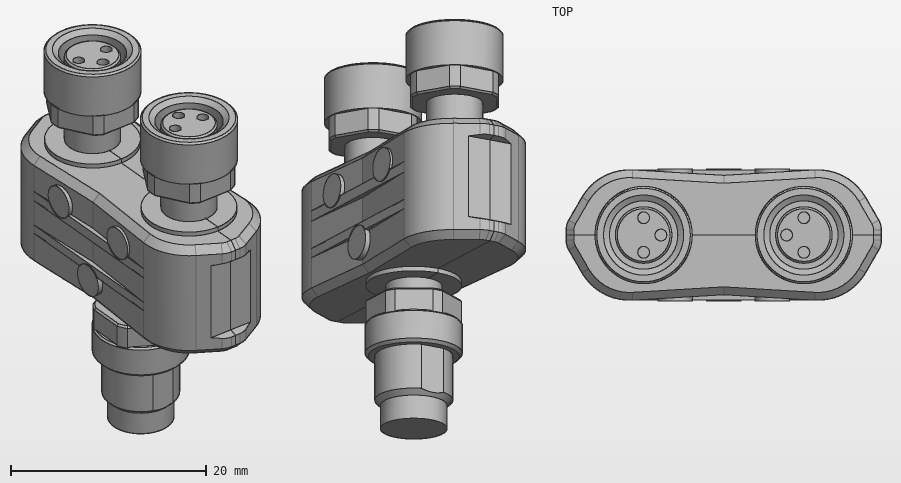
import cadquery as cq
import math

TIP_TOP = 2.5
SLEEVE_CONE_TOP = 3.05
PLUG_NUT_BOTTOM = 7.8
PLUG_HEX_BOTTOM = 11.3
PLUG_NUT_TOP = 13.75
HOUSING_BOTTOM = 15.88
HOUSING_TOP = 28.95
SOCKET_NUT_BOTTOM = 32.75
SOCKET_HEX_TOP = 35.25
OVERALL_HEIGHT = 40.2

OVERALL_LENGTH = 32.3
OVERALL_WIDTH = 13.55

HOUSING_HALF_LENGTH = OVERALL_LENGTH / 2
WAIST_HALF_WIDTH = 6.1
END_FLAT_HALF_WIDTH = 0.52
END_CORNER_RADIUS = 2.0
SHOULDER_RADIUS = 5.63
SHOULDER_CENTER_X = 9.65
END_FACE_TURN = math.radians(30)
HOUSING_CHAMFER = 0.8

FLANGE_RADIUS = 4.9
FLANGE_HEIGHT = 0.5
GRIP_DEPTH = 0.85
GRIP_BOTTOM = 18.1
GRIP_TOP = 26.77
GRIP_WALL_RISE = 0.25
RIB_HEIGHTS = [(19.95, 20.95), (23.88, 25.0)]
DISC_RADIUS = 1.75
DISC_FACE_Y = OVERALL_WIDTH / 2
DISC_OFFSET_X = 5.0
UPPER_DISC_Z = 25.93
LOWER_DISC_Z = 18.97

SOCKET_OFFSET_X = 8.2
STEM_RADIUS = 2.9
NUT_RADIUS = 5.0
NUT_EDGE_CHAMFER = 0.2
HEX_APOTHEM = 4.5
HEX_CORNER_RADIUS = 4.9
HEX_EDGE_CHAMFER = 0.2
SOCKET_HEX_TURN = 0
PLUG_HEX_TURN = 30

SOCKET_BORE_RADIUS = 3.5
SOCKET_MOUTH_RADIUS = 4.1
SOCKET_MOUTH_DEPTH = 0.45
INSERT_RECESS = 0.65
INSERT_CHAMFER = 0.2
CONTACT_RADIUS = 0.6
CONTACT_OFFSET = 1.75
CONTACT_DEPTH = 3.2

PLUG_NUT_CHAMFER = 0.32
SLEEVE_DIAMETER = 8.0
SLEEVE_RADIUS = SLEEVE_DIAMETER / 2
SLEEVE_FLAT_X = 3.78
TIP_RADIUS = 3.4


def cylinder(radius, bottom, top, x=0):
    """Upright cylinder between two heights, centred on (x, 0)."""
    return cq.Workplane("XY", origin=(x, 0, bottom)).circle(radius).extrude(top - bottom)


def on_circle(center, radius, angle):
    """Point on a circle at an angle from +X."""
    return (center[0] + radius * math.cos(angle), center[1] + radius * math.sin(angle))


def end_corner_arc():
    """Start, middle and end of the arc from the end flat to the slanted end face."""
    center = (HOUSING_HALF_LENGTH - END_CORNER_RADIUS, END_FLAT_HALF_WIDTH)
    angles = (0, END_FACE_TURN / 2, END_FACE_TURN)
    return [on_circle(center, END_CORNER_RADIUS, angle) for angle in angles]


def shoulder_arc():
    """Start, middle and end of the arc from the slanted end face to the waist line."""
    face_x, face_y = end_corner_arc()[-1]
    cos_end = math.cos(END_FACE_TURN)
    sin_end = math.sin(END_FACE_TURN)
    face_distance = face_x * cos_end + face_y * sin_end
    center_y = (face_distance - SHOULDER_RADIUS - SHOULDER_CENTER_X * cos_end) / sin_end
    center = (SHOULDER_CENTER_X, center_y)

    waist_drop = center_y - WAIST_HALF_WIDTH
    waist_distance = math.hypot(SHOULDER_CENTER_X, waist_drop)
    direction_to_waist = math.atan2(-waist_drop, -SHOULDER_CENTER_X)
    waist_turn = direction_to_waist - math.acos(SHOULDER_RADIUS / waist_distance)
    angles = (END_FACE_TURN, (END_FACE_TURN + waist_turn) / 2, waist_turn)
    return [on_circle(center, SHOULDER_RADIUS, angle) for angle in angles]


def housing_outline():
    """Closed outline: waisted long sides, round shoulders, pointed ends with small flats."""
    corner_start, corner_middle, corner_end = end_corner_arc()
    shoulder_start, shoulder_middle, shoulder_end = shoulder_arc()
    return (
        cq.Workplane("XY", origin=(0, 0, HOUSING_BOTTOM))
        .moveTo(HOUSING_HALF_LENGTH, 0)
        .lineTo(*corner_start)
        .threePointArc(corner_middle, corner_end)
        .lineTo(*shoulder_start)
        .threePointArc(shoulder_middle, shoulder_end)
        .lineTo(0, WAIST_HALF_WIDTH)
        .mirrorY()
        .mirrorX()
    )


def grip_recess(side):
    """Cutter for the recess across one housing end; its walls flare slightly outward."""
    floor_x = HOUSING_HALF_LENGTH - GRIP_DEPTH
    return (
        cq.Workplane("XZ")
        .polyline([
            (side * floor_x, GRIP_BOTTOM),
            (side * floor_x, GRIP_TOP),
            (side * HOUSING_HALF_LENGTH, GRIP_TOP + GRIP_WALL_RISE),
            (side * HOUSING_HALF_LENGTH, GRIP_BOTTOM - GRIP_WALL_RISE),
        ])
        .close()
        .extrude(OVERALL_WIDTH / 2, both=True)
    )


def front_housing():
    """Half of the housing on the -Y side of the parting plane."""
    body = (
        housing_outline()
        .extrude(HOUSING_TOP - HOUSING_BOTTOM)
        .faces("<Z or >Z")
        .chamfer(HOUSING_CHAMFER)
    )
    for side in (-1, 1):
        body = body.cut(grip_recess(side))
        body = body.union(
            cylinder(FLANGE_RADIUS, HOUSING_TOP, HOUSING_TOP + FLANGE_HEIGHT, side * SOCKET_OFFSET_X)
        )
    body = body.union(cylinder(FLANGE_RADIUS, HOUSING_BOTTOM - FLANGE_HEIGHT, HOUSING_BOTTOM))

    rib_end_x, rib_face_y = shoulder_arc()[-1]
    for bottom, top in RIB_HEIGHTS:
        rib = cq.Workplane("XY", origin=(0, 0, bottom)).box(
            2 * rib_end_x, 2 * rib_face_y, top - bottom, centered=(True, True, False)
        )
        body = body.union(rib)

    disc_centers = [
        (-DISC_OFFSET_X, UPPER_DISC_Z),
        (DISC_OFFSET_X, UPPER_DISC_Z),
        (0, LOWER_DISC_Z),
    ]
    discs = cq.Workplane("XZ").pushPoints(disc_centers).circle(DISC_RADIUS).extrude(DISC_FACE_Y)
    body = body.union(discs)

    front_space = cq.Workplane("XY").box(
        OVERALL_LENGTH, OVERALL_WIDTH, 2 * OVERALL_HEIGHT
    ).translate((0, -OVERALL_WIDTH / 2, 0))
    return body.intersect(front_space)


def hex_section(bottom, top, turn):
    """Hexagon with turned-down corners; at turn 0 two flats face +X and -X."""
    height = top - bottom
    hexagon = (
        cq.Workplane("XY", origin=(0, 0, bottom))
        .transformed(rotate=(0, 0, turn))
        .polygon(6, 2 * HEX_APOTHEM, circumscribed=True)
        .extrude(height)
    )
    return hexagon.intersect(cylinder(HEX_CORNER_RADIUS, bottom, top))


def socket_nut(x):
    """Ring nut around a socket insert, hexagonal at its lower end."""
    collar = (
        cylinder(NUT_RADIUS, SOCKET_HEX_TOP, OVERALL_HEIGHT)
        .faces(">Z")
        .chamfer(NUT_EDGE_CHAMFER)
    )
    hexagon = hex_section(SOCKET_NUT_BOTTOM, SOCKET_HEX_TOP, SOCKET_HEX_TURN)
    hexagon = hexagon.faces("<Z").chamfer(HEX_EDGE_CHAMFER)
    bore = cylinder(SOCKET_BORE_RADIUS, SOCKET_HEX_TOP, OVERALL_HEIGHT)
    mouth = (
        cq.Workplane("XY", origin=(0, 0, OVERALL_HEIGHT - SOCKET_MOUTH_DEPTH))
        .circle(SOCKET_BORE_RADIUS)
        .workplane(offset=SOCKET_MOUTH_DEPTH)
        .circle(SOCKET_MOUTH_RADIUS)
        .loft()
    )
    stem_hole = cylinder(STEM_RADIUS, SOCKET_NUT_BOTTOM, SOCKET_HEX_TOP)
    nut = collar.union(hexagon).cut(bore).cut(mouth).cut(stem_hole)
    return nut.translate((x, 0, 0))


def socket_insert(x):
    """Stem standing on the housing, with three contact holes in its top face."""
    insert_top = OVERALL_HEIGHT - INSERT_RECESS
    toward_middle = -math.copysign(CONTACT_OFFSET, x)
    contacts = [(0, CONTACT_OFFSET), (0, -CONTACT_OFFSET), (toward_middle, 0)]
    insert = (
        cylinder(STEM_RADIUS, HOUSING_TOP + FLANGE_HEIGHT, insert_top)
        .faces(">Z")
        .chamfer(INSERT_CHAMFER)
        .faces(">Z")
        .workplane()
        .pushPoints(contacts)
        .hole(2 * CONTACT_RADIUS, CONTACT_DEPTH)
    )
    return insert.translate((x, 0, 0))


def plug_nut():
    """Ring nut around the plug, hexagonal at its upper end."""
    collar = (
        cylinder(NUT_RADIUS, PLUG_NUT_BOTTOM, PLUG_HEX_BOTTOM)
        .faces("<Z")
        .chamfer(PLUG_NUT_CHAMFER)
        .faces(">Z")
        .chamfer(NUT_EDGE_CHAMFER)
    )
    hexagon = hex_section(PLUG_HEX_BOTTOM - NUT_EDGE_CHAMFER, PLUG_NUT_TOP, PLUG_HEX_TURN)
    hexagon = hexagon.faces(">Z").chamfer(HEX_EDGE_CHAMFER)
    stem_hole = cylinder(STEM_RADIUS, PLUG_NUT_BOTTOM, PLUG_NUT_TOP)
    return collar.union(hexagon).cut(stem_hole)


def plug():
    """Stem, flatted sleeve and tip of the lower connector."""
    profile = (
        cq.Workplane("XZ")
        .polyline([
            (0, 0),
            (TIP_RADIUS, 0),
            (TIP_RADIUS, TIP_TOP),
            (SLEEVE_RADIUS, SLEEVE_CONE_TOP),
            (SLEEVE_RADIUS, PLUG_NUT_BOTTOM),
            (STEM_RADIUS, PLUG_NUT_BOTTOM),
            (STEM_RADIUS, HOUSING_BOTTOM - FLANGE_HEIGHT),
            (0, HOUSING_BOTTOM - FLANGE_HEIGHT),
        ])
        .close()
    )
    body = profile.revolve(360, (0, 0, 0), (0, 1, 0))
    between_flats = cq.Workplane("XY").box(
        2 * SLEEVE_FLAT_X, 2 * SLEEVE_RADIUS, OVERALL_HEIGHT, centered=(True, True, False)
    )
    return body.intersect(between_flats)


housing_front = front_housing()
housing_back = housing_front.mirror("XZ")
sockets_x = [-SOCKET_OFFSET_X, SOCKET_OFFSET_X]
socket_nuts = [socket_nut(x) for x in sockets_x]
socket_inserts = [socket_insert(x) for x in sockets_x]
plug_ring = plug_nut()
plug_body = plug()

result = cq.Compound.makeCompound([
    housing_front.val(),
    housing_back.val(),
    *[nut.val() for nut in socket_nuts],
    *[insert.val() for insert in socket_inserts],
    plug_ring.val(),
    plug_body.val(),
])